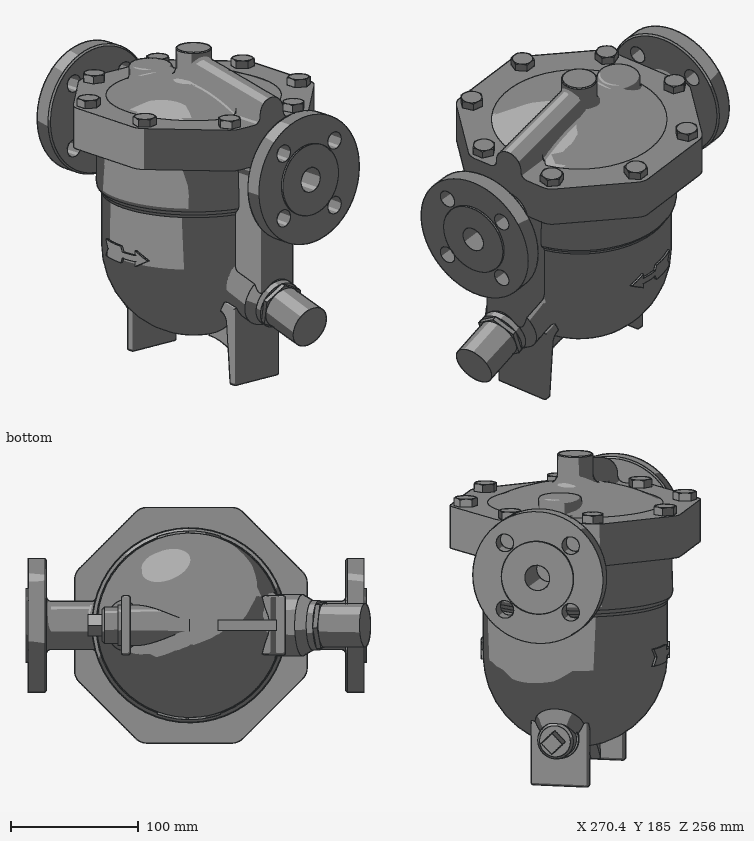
import cadquery as cq
import math

shell_radius = 72.3
sphere_center_z = 95.5
upper_radius = 76.0
lip_radius = 76.5
lip_z = 146.8
lip_round_radius = 76.0
lip_round_z = 144.3
step_radius = 73.2
step_z = 140.9
step_bottom_z = 138.5
seam_turn = 130.0

plate_bottom_z = 183.5
joint_z = 201.3
plate_top_z = 217.0
octagon_half_width = 92.5
octagon_left_half = 90.0
octagon_corner_radius = 12.5
bolt_circle_radius = 87.0
bolt_count = 8
bolt_across_flats = 16.0
bolt_head_height = 6.4
bolt_crown_slope = 30.0
bolt_hex_turn = -7.5

dome_radius = 66.0
dome_rim_radius = 68.8
dome_skirt_radius = 80.0
rim_z = plate_top_z + 1.0
dome_rise = 14.7
cover_height = 256.0
cap_radius = 14.0
cap_chamfer = 0.8
cap_neck_radius = 22.6
cap_neck_top_z = 240.5
boss_x = -51.3
boss_radius = 17.0
boss_top_z = 231.0
boss_edge_radius = 3.0
cover_fillet = 2.6
channel_radius = 12.0
channel_slope = 10.0
channel_start_z = 240.5
channel_foot_radius = 6.1
channel_foot_start_x = 64.0

flange_axis_z = 179.3
inlet_face_x = -128.2
face_to_face = 267.0
outlet_face_x = inlet_face_x + face_to_face
flange_diameter = 105.0
flange_thickness = 14.5
flange_edge_chamfer = 1.4
raised_face_diameter = 58.0
raised_face_height = 1.8
pipe_diameter = 38.0
neck_fillet = 3.5
bore_diameter = 20.0
bore_depth = 40.0
flange_hole_diameter = 14.0
flange_hole_circle = 75.0
flange_hole_count = 4

web_half_width = 18.2
web_end_x = 101.0
web_corner_radius = 6.5
web_bottom_z = 72.0

branch_tilt = 15.0
branch_end_x = 137.8
branch_end_z = 58.5
branch_length = 90.0
branch_root_fillet = 5.0
branch_pipe_radius = 17.0
branch_hub_radius = 24.2
branch_collar_radius = 19.5
branch_hub_end = 50.7
branch_collar_start = 42.6
hex_start = 33.6
hex_end = 37.3
hex_across_flats = 34.6
hex_turn = 24.5

drain_z = 38.6
drain_face_x = -68.4
drain_shoulder_x = -56.0
drain_front_radius = 14.4
drain_radius = 15.9
drain_edge_chamfer = 2.0
drain_root_x = -62.0
drain_root_z = 40.0
drain_root_depth = 16.0
drain_root_start_radius = 9.0
drain_root_end_radius = 21.5
plug_end_x = -79.4
plug_square = 12.0

foot_half_width = 23.2
foot_edge_radius = 1.9
front_foot_x = (-53.3, -46.2)
front_foot_top_z = 51.5
rear_foot_outer_x = 75.5
rear_foot_inner_x = 68.3
rib_thickness = 8.0
rib_arc_radius = 54.5
rib_start_x = 22.5
rib_start_z = 25.8

arrow_z = 100.4
arrow_surface_radius = 74.0


def cylinder_x(radius, x_start, x_end, z):
    """Cylinder parallel to X between two X positions."""
    section = cq.Workplane("YZ", origin=(x_start, 0, z)).circle(radius)
    return section.extrude(x_end - x_start)


def cylinder_z(radius, x, z_start, z_end):
    """Cylinder parallel to Z, centred on y = 0."""
    return cq.Workplane("XY", origin=(x, 0, z_start)).circle(radius).extrude(z_end - z_start)


def make_body():
    diagonal = shell_radius * math.sqrt(0.5)
    outline = (
        cq.Workplane("XZ")
        .moveTo(0, sphere_center_z - shell_radius)
        .threePointArc((diagonal, sphere_center_z - diagonal), (shell_radius, sphere_center_z))
        .lineTo(shell_radius, step_bottom_z)
        .lineTo(step_radius, step_z)
        .lineTo(lip_round_radius, lip_round_z)
        .lineTo(lip_radius, lip_z)
        .lineTo(upper_radius, plate_bottom_z)
        .lineTo(0, plate_bottom_z)
        .close()
    )
    body = outline.revolve(360, (0, 0, 0), (0, 1, 0))
    return body.rotate((0, 0, 0), (0, 0, 1), seam_turn)


def make_plate(bottom_z, top_z):
    """Regular octagon with rounded corners and its -X side moved inward."""
    reach = octagon_half_width
    half_side = reach * math.tan(math.radians(22.5))
    left = octagon_left_half
    left_half_side = half_side + reach - left
    points = [
        (reach, half_side),
        (half_side, reach),
        (-half_side, reach),
        (-left, left_half_side),
        (-left, -left_half_side),
        (-half_side, -reach),
        (half_side, -reach),
        (reach, -half_side),
    ]
    plate = cq.Workplane("XY", origin=(0, 0, bottom_z)).polyline(points).close().extrude(top_z - bottom_z)
    return plate.edges("|Z").fillet(octagon_corner_radius)


def make_bolts():
    """Hexagon bolt heads on the cover, turning with the bolt circle."""
    top_radius = bolt_across_flats / 2
    spread = bolt_head_height / math.tan(math.radians(bolt_crown_slope))
    crown = cq.Workplane(cq.Solid.makeCone(top_radius + spread, top_radius, bolt_head_height))
    head = (
        cq.Workplane("XY")
        .polygon(6, bolt_across_flats / math.cos(math.radians(30)))
        .extrude(bolt_head_height)
        .intersect(crown)
        .rotate((0, 0, 0), (0, 0, 1), bolt_hex_turn)
        .translate((bolt_circle_radius, 0, plate_top_z))
    )
    pitch = 360 / bolt_count
    bolts = head.rotate((0, 0, 0), (0, 0, 1), pitch / 2)
    for index in range(1, bolt_count):
        bolts = bolts.union(head.rotate((0, 0, 0), (0, 0, 1), pitch * (index + 0.5)))
    return bolts


def make_dome():
    """Shallow spherical dome, its skirt sunk into the plate, with a neck and cap on top."""
    sphere_radius = (dome_radius**2 + dome_rise**2) / (2 * dome_rise)
    dome_center_z = rim_z + dome_rise - sphere_radius

    def dome_z(radius):
        return dome_center_z + math.sqrt(sphere_radius**2 - radius**2)

    middle = (dome_skirt_radius + cap_neck_radius) / 2
    neck_z = dome_z(cap_neck_radius)
    neck_middle = (
        cap_neck_radius - (cap_neck_radius - cap_radius) * math.sin(math.radians(45)),
        cap_neck_top_z - (cap_neck_top_z - neck_z) * math.sin(math.radians(45)),
    )
    outline = (
        cq.Workplane("XZ")
        .moveTo(0, joint_z + 1)
        .lineTo(dome_skirt_radius, joint_z + 1)
        .lineTo(dome_skirt_radius, dome_z(dome_skirt_radius))
        .threePointArc((middle, dome_z(middle)), (cap_neck_radius, neck_z))
        .threePointArc(neck_middle, (cap_radius, cap_neck_top_z))
        .lineTo(cap_radius, cover_height - cap_chamfer)
        .lineTo(cap_radius - cap_chamfer, cover_height)
        .lineTo(0, cover_height)
        .close()
    )
    dome = outline.revolve(360, (0, 0, 0), (0, 1, 0))
    return dome.rotate((0, 0, 0), (0, 0, 1), seam_turn)


def make_dome_rim():
    """Narrow conical ring where the dome meets the plate."""
    ring = cq.Solid.makeCone(dome_rim_radius, dome_radius, rim_z - plate_top_z, cq.Vector(0, 0, plate_top_z))
    return cq.Workplane(ring)


def make_cover():
    """Dome joined with filleted roots to the plugged boss and the sloped channel."""
    boss = cylinder_z(boss_radius, boss_x, joint_z + 2, boss_top_z)
    boss = boss.faces(">Z").edges().fillet(boss_edge_radius)
    cover = make_dome().union(boss)
    reach = boss_radius + 1
    near_boss = cq.selectors.BoxSelector(
        (boss_x - reach, -reach, joint_z + 3), (boss_x + reach, reach, boss_top_z - boss_edge_radius)
    )
    cover = cover.edges(near_boss).edges("not (%LINE or %CIRCLE)").fillet(cover_fillet)
    cover = cover.union(make_channel())
    near_channel = cq.selectors.BoxSelector(
        (cap_neck_radius, -channel_radius - 1, joint_z + 3), (dome_radius, channel_radius + 1, cap_neck_top_z)
    )
    return cover.edges(near_channel).edges("%CIRCLE").fillet(cover_fillet)


def make_channel():
    """Round-topped channel sloping from the cap to the +X edge of the plate."""
    end_x = octagon_half_width
    fall = math.tan(math.radians(channel_slope))
    wall = (
        cq.Workplane("XZ")
        .moveTo(0, joint_z + 2)
        .lineTo(end_x, joint_z + 2)
        .lineTo(end_x, channel_start_z - end_x * fall)
        .lineTo(0, channel_start_z)
        .close()
        .extrude(channel_radius, both=True)
    )
    round_top = cylinder_x(channel_radius, 0, 2 * end_x, 0)
    round_top = round_top.rotate((0, 0, 0), (0, 1, 0), channel_slope).translate((0, 0, channel_start_z))
    limit = cq.Workplane("XY").box(end_x, 2 * end_x, 2 * cover_height, centered=(False, True, True))
    return wall.union(round_top.intersect(limit))


def make_channel_foot():
    """Concave blend between the channel walls and the cover plate."""
    radius = channel_foot_radius
    inner = channel_radius
    outer = inner + radius
    bend = radius * (1 - math.sqrt(0.5))
    top_z = plate_top_z + radius
    section = (
        cq.Workplane("YZ", origin=(channel_foot_start_x, 0, 0))
        .moveTo(-outer, plate_top_z)
        .lineTo(outer, plate_top_z)
        .threePointArc((inner + bend, plate_top_z + bend), (inner, top_z))
        .lineTo(-inner, top_z)
        .threePointArc((-inner - bend, plate_top_z + bend), (-outer, plate_top_z))
        .close()
    )
    return section.extrude(octagon_half_width - channel_foot_start_x)


def make_flanged_pipe(face_x, inward):
    """Flange with raised face and pipe; inward is the X direction from the face to the vessel."""
    rim = flange_diameter / 2
    face = raised_face_diameter / 2
    pipe = pipe_diameter / 2
    front = raised_face_height
    back = front + flange_thickness
    bend = neck_fillet * (1 - math.sqrt(0.5))
    outline = (
        cq.Workplane("XY")
        .moveTo(0, 0)
        .lineTo(0, face)
        .lineTo(front, face)
        .lineTo(front, rim)
        .lineTo(back - flange_edge_chamfer, rim)
        .lineTo(back, rim - flange_edge_chamfer)
        .lineTo(back, pipe + neck_fillet)
        .threePointArc((back + bend, pipe + bend), (back + neck_fillet, pipe))
        .lineTo(abs(face_x) - shell_radius / 2, pipe)
        .lineTo(abs(face_x) - shell_radius / 2, 0)
        .close()
    )
    flange = outline.revolve(360, (0, 0, 0), (1, 0, 0))
    holes = (
        cq.Workplane("YZ")
        .polarArray(flange_hole_circle / 2, 45, 360, flange_hole_count)
        .circle(flange_hole_diameter / 2)
        .extrude(back)
    )
    flange = flange.cut(holes)
    if inward < 0:
        flange = flange.mirror("YZ")
    return flange.translate((face_x, 0, flange_axis_z))


def make_bore(face_x, inward):
    return cylinder_x(bore_diameter / 2, face_x, face_x + inward * bore_depth, flange_axis_z)


def make_web():
    web = cq.Workplane("XY", origin=(0, 0, web_bottom_z)).rect(2 * web_end_x, 2 * web_half_width)
    web = web.extrude(flange_axis_z - web_bottom_z).edges("|Z and >X").fillet(web_corner_radius)
    keep = cq.Workplane("XY").box(web_end_x, web_end_x, cover_height, centered=(False, True, False))
    return web.intersect(keep)


def make_branch():
    """Tilted outlet turned about its own axis: pipe end, hexagon, collar and hub."""
    outline = (
        cq.Workplane("XY")
        .moveTo(0, 0)
        .lineTo(0, branch_pipe_radius)
        .lineTo(hex_end, branch_pipe_radius)
        .lineTo(hex_end, branch_collar_radius)
        .lineTo(branch_collar_start, branch_collar_radius)
        .lineTo(branch_hub_end, branch_hub_radius)
        .lineTo(branch_length, branch_hub_radius)
        .lineTo(branch_length, 0)
        .close()
    )
    branch = outline.revolve(360, (0, 0, 0), (1, 0, 0))
    hexagon = (
        cq.Workplane("YZ", origin=(hex_start, 0, 0))
        .polygon(6, hex_across_flats / math.cos(math.radians(30)))
        .extrude(hex_end - hex_start)
        .rotate((0, 0, 0), (1, 0, 0), hex_turn)
    )
    branch = branch.union(hexagon).rotate((0, 0, 0), (0, 1, 0), 180 + branch_tilt)
    return branch.translate((branch_end_x, 0, branch_end_z))


def make_drain():
    """Drain boss along X, its conical root on the sphere, and a square plug set on edge."""
    front = cylinder_x(drain_front_radius, drain_face_x, 0, drain_z)
    front = front.faces("<X").edges().chamfer(drain_edge_chamfer)
    rear = cylinder_x(drain_radius, drain_shoulder_x, 0, drain_z)
    toward_center = cq.Vector(-drain_root_x, 0, sphere_center_z - drain_root_z)
    root = cq.Workplane(
        cq.Solid.makeCone(
            drain_root_start_radius,
            drain_root_end_radius,
            drain_root_depth,
            cq.Vector(drain_root_x, 0, drain_root_z),
            toward_center,
        )
    )
    plug = cq.Workplane("YZ", origin=(plug_end_x, 0, drain_z)).transformed(rotate=(0, 0, 45))
    plug = plug.rect(plug_square, plug_square).extrude(drain_face_x - plug_end_x + 1)
    return front.union(rear).union(root).union(plug)


def make_front_foot():
    start_x, end_x = front_foot_x
    foot = cq.Workplane("XY", origin=((start_x + end_x) / 2, 0, 0))
    foot = foot.rect(end_x - start_x, 2 * foot_half_width).extrude(front_foot_top_z)
    return foot.edges("|Z or <Z").fillet(foot_edge_radius)


def make_rear_foot():
    """Tapered foot whose head spreads into the sphere and the branch hub."""
    outline = (
        cq.Workplane("XZ")
        .moveTo(rear_foot_inner_x, 0)
        .lineTo(rear_foot_outer_x, 0)
        .lineTo(rear_foot_outer_x, 64)
        .lineTo(61.5, 66.5)
        .lineTo(56.5, 57)
        .threePointArc((61.5, 55), (64.2, 49.5))
        .close()
    )
    foot = outline.extrude(foot_half_width, both=True)
    return foot.faces(">Y or <Y or <Z").edges().fillet(foot_edge_radius)


def make_rib():
    """Central rib from the vessel bottom to the rear foot, with a concave lower edge."""
    def arc_z(x):
        run = x - rib_start_x
        return rib_start_z - rib_arc_radius + math.sqrt(rib_arc_radius**2 - run**2)

    middle_x = (rib_start_x + rear_foot_inner_x) / 2
    outline = (
        cq.Workplane("XZ")
        .moveTo(rib_start_x, rib_start_z)
        .threePointArc((middle_x, arc_z(middle_x)), (rear_foot_inner_x, arc_z(rear_foot_inner_x)))
        .lineTo(rear_foot_outer_x - foot_edge_radius, arc_z(rear_foot_inner_x))
        .lineTo(rear_foot_outer_x - foot_edge_radius, branch_end_z)
        .lineTo(rib_start_x, branch_end_z)
        .close()
    )
    return outline.extrude(rib_thickness / 2, both=True)


def make_vessel():
    """Body with the tilted branch and the inlet pipe blended into it."""
    vessel = make_body().union(make_branch())
    near_branch = cq.selectors.BoxSelector((40, -30, 40), (76, 30, 100))
    vessel = vessel.edges(near_branch).edges("not (%LINE or %CIRCLE)").fillet(branch_root_fillet)
    vessel = vessel.union(make_flanged_pipe(inlet_face_x, 1))
    near_inlet = cq.selectors.BoxSelector((-80, -25, 155), (-65, 25, 200))
    return vessel.edges(near_inlet).edges("not (%LINE or %CIRCLE)").fillet(neck_fillet)


def make_arrows():
    """Raised arrows pointing along +X on the -Y and +Y sides of the vessel."""
    tail_x, notch_x, tail_end_x, shaft_x, head_x, tip_x = -25.3, -21.1, -2.5, -0.6, 13.2, 24.6
    tail_half, shaft_half, head_half = 6.8, 2.5, 6.5
    upper = [
        (tail_x, tail_half),
        (tail_end_x, tail_half),
        (shaft_x, shaft_half),
        (head_x, shaft_half),
        (head_x, head_half),
    ]
    lower = [(x, -z) for x, z in reversed(upper)]
    points = [(notch_x, 0)] + upper + [(tip_x, 0)] + lower
    plane = cq.Workplane("XZ", origin=(0, 0, arrow_z))
    prism = plane.polyline(points).close().extrude(2 * shell_radius, both=True)
    surface = cylinder_z(arrow_surface_radius, 0, 0, plate_bottom_z)
    return prism.intersect(surface)


parts = [
    make_drain().union(make_front_foot()),
    make_rear_foot().union(make_rib()),
    make_arrows(),
    make_plate(plate_bottom_z, joint_z),
    make_plate(joint_z, plate_top_z),
    make_cover(),
    make_dome_rim(),
    make_channel_foot(),
    make_web(),
    make_flanged_pipe(outlet_face_x, -1),
    make_bolts(),
]
result = make_vessel()
for part in parts:
    result = result.union(part, clean=False)
result = result.cut(make_bore(inlet_face_x, 1), clean=False).cut(make_bore(outlet_face_x, -1), clean=False)